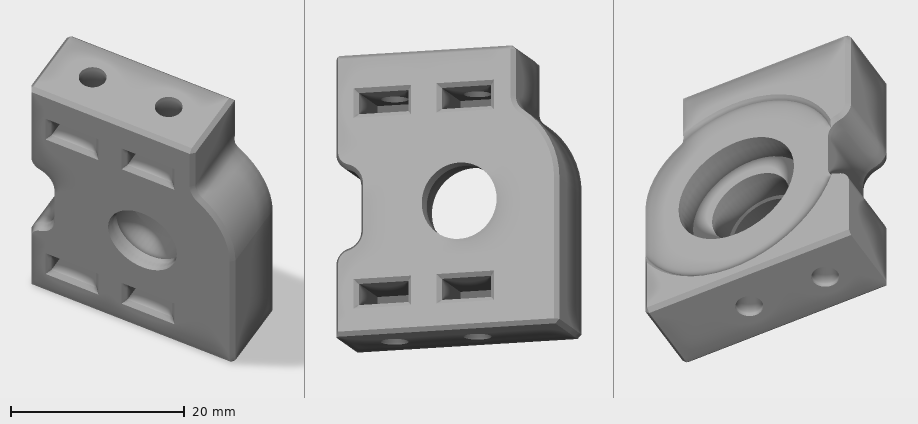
import cadquery as cq
import math

width = 26.95
depth = 10.0
height = 33.05
upper_width = 21.7

bevel = 0.5
bevel_angle = 45
left_bevel_depth = 0.93

shoulder_radius = 10.0
shoulder_start_z = 17.15
shoulder_fillet = 2.0

notch_depth = 3.0
notch_floor_length = 5.35
notch_radius = 2.0

bore_x = 15.05
bore_z = 15.05
bore_diameter = 9.0
lip_thickness = 2.0
relief_diameter = 10.1
pocket_diameter = 15.1
pocket_depth = 4.0

recess_floor_diameter = 25.98
recess_depth = 0.5

slot_width = 5.9
slot_height = 2.48
slot_depth = 8.0
slot_columns = (5.82, 15.75)
lower_slot_z = 4.83
upper_slot_z = 27.3
screw_diameter = 3.2

tolerance = 0.03


def outline():
    """Side profile in X and Z, with sharp outer corners."""
    arc_x = width - shoulder_radius
    fillet_x = upper_width + shoulder_fillet
    center_gap = shoulder_radius + shoulder_fillet
    touch_angle = math.acos((fillet_x - arc_x) / center_gap)
    fillet_z = shoulder_start_z + center_gap * math.sin(touch_angle)
    touch = (
        arc_x + shoulder_radius * math.cos(touch_angle),
        shoulder_start_z + shoulder_radius * math.sin(touch_angle),
    )
    notch_angle = math.acos(1 - notch_depth / (2 * notch_radius))
    notch_half_rise = notch_radius * math.sin(notch_angle)
    floor_top = bore_z + notch_floor_length / 2
    floor_bottom = bore_z - notch_floor_length / 2
    return (
        cq.Workplane("XZ")
        .lineTo(width, 0)
        .lineTo(width, shoulder_start_z)
        .tangentArcPoint(touch, relative=False)
        .tangentArcPoint((upper_width, fillet_z), relative=False)
        .lineTo(upper_width, height)
        .lineTo(0, height)
        .lineTo(0, floor_top + 2 * notch_half_rise)
        .tangentArcPoint((notch_depth / 2, floor_top + notch_half_rise), relative=False)
        .tangentArcPoint((notch_depth, floor_top), relative=False)
        .lineTo(notch_depth, floor_bottom)
        .tangentArcPoint((notch_depth / 2, floor_bottom - notch_half_rise), relative=False)
        .tangentArcPoint((0, floor_bottom - 2 * notch_half_rise), relative=False)
        .close()
    )


def y_cylinder(diameter, start, end):
    """Cylinder on the bore axis between two Y positions."""
    return cq.Workplane("XZ", origin=(bore_x, start, bore_z)).circle(diameter / 2).extrude(start - end)


def stepped_bore():
    """Bearing pocket from the back, a relief bore, and a narrower lip at the front."""
    pocket_floor = depth - pocket_depth
    return (
        y_cylinder(bore_diameter, 0, lip_thickness)
        .union(y_cylinder(relief_diameter, lip_thickness, pocket_floor))
        .union(y_cylinder(pocket_diameter, pocket_floor, depth))
    )


def back_recess():
    """Shallow round recess around the bore, flaring outward to the back face."""
    floor_y = depth - recess_depth
    floor = cq.Workplane("XZ", origin=(bore_x, floor_y, bore_z)).circle(recess_floor_diameter / 2)
    return floor.extrude(-recess_depth, taper=-bevel_angle)


def nut_slot(x, z):
    """Rectangular slot from the front face with a bevelled mouth."""
    slot = cq.Workplane().box(slot_width, slot_depth, slot_height, centered=(True, False, True))
    mouth = (
        cq.Workplane("XZ")
        .rect(slot_width + 2 * bevel, slot_height + 2 * bevel)
        .extrude(-bevel, taper=bevel_angle)
    )
    return slot.union(mouth).translate((x, 0, z))


def screw_hole(x, start_z, end_z):
    """Vertical hole at mid-depth between an end face and the middle of a nut slot."""
    return (
        cq.Workplane("XY", origin=(x, depth / 2, start_z)).circle(screw_diameter / 2).extrude(end_z - start_z)
    )


def is_left(edge):
    """True for the edges of the left side, including the notch."""
    return edge.BoundingBox().xmax < notch_depth + tolerance


def is_bevelled_corner(edge):
    """True for the two top corners and the lower right corner; the lower left one stays sharp."""
    center = edge.Center()
    at_top = center.z > height - tolerance
    at_bottom = center.z < tolerance
    return at_top or (at_bottom and center.x > width / 2)


def is_bevelled_back_edge(edge):
    """True for the top, the bottom, the left side above the notch and the right side below the recess."""
    center = edge.Center()
    at_end = min(center.z, height - center.z) < tolerance
    upper_left = is_left(edge) and center.z > bore_z
    lower_right = center.x > width - tolerance
    return at_end or upper_left or lower_right


def bevel_edges(body):
    """Bevel the outer edges, reaching deeper along Y on the left of the front face."""
    corners = body.edges("|Y").filter(is_bevelled_corner)
    front = body.faces("<Y").edges().filter(lambda edge: not is_left(edge))
    back = body.faces(">Y").edges().filter(is_bevelled_back_edge)
    body = corners.add(front).add(back).chamfer(bevel)
    return body.faces("<Y").edges().filter(is_left).chamfer(bevel, left_bevel_depth)


result = bevel_edges(outline().extrude(-depth).cut(back_recess())).cut(stepped_bore())
for column in slot_columns:
    result = result.cut(nut_slot(column, upper_slot_z)).cut(screw_hole(column, upper_slot_z, height))
    result = result.cut(nut_slot(column, lower_slot_z)).cut(screw_hole(column, 0, lower_slot_z))